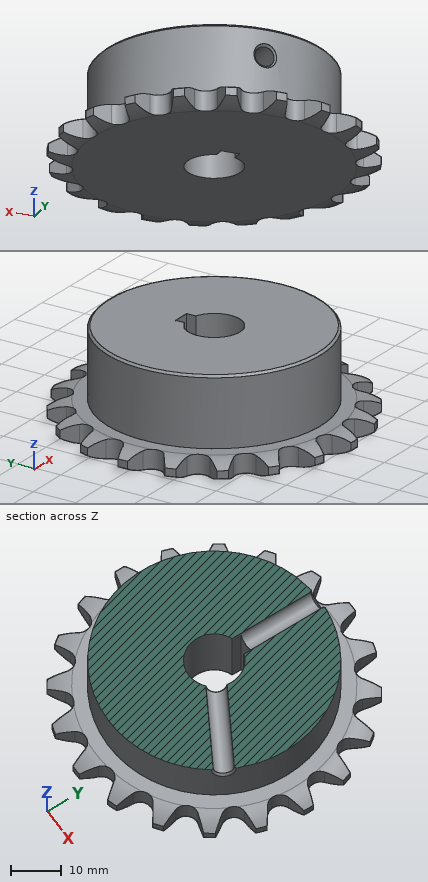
import cadquery as cq
import math

TOOTH_COUNT = 20
CHAIN_PITCH = 9.525
ROLLER_DIAMETER = 5.08
TIP_DIAMETER = 66.0
FLANK_ANGLE = 18
PLATE_THICKNESS = 4.3
TIP_THICKNESS = 1.7
FLAT_FACE_DIAMETER = 56.2

HUB_DIAMETER = 50.0
TOTAL_HEIGHT = 20.0
HUB_CHAMFER = 0.5
BORE_DIAMETER = 12.0
KEYWAY_WIDTH = 4.0
KEYWAY_DEPTH = 1.8

SCREW_HOLE_DIAMETER = 4.13
SCREW_MOUTH_DIAMETER = 5.1
SCREW_HEIGHT = 14.0
SCREW_ANGLES = (90.0, -30.0)

TOOTH_STEP = 360.0 / TOOTH_COUNT
PITCH_RADIUS = CHAIN_PITCH / (2 * math.sin(math.pi / TOOTH_COUNT))
SEAT_RADIUS = ROLLER_DIAMETER / 2
TIP_RADIUS = TIP_DIAMETER / 2
HUB_RADIUS = HUB_DIAMETER / 2
CUT_MARGIN = 1.0


def make_plate():
    """Disc whose rim narrows to the tip on arcs tangent to both flat faces."""
    flat_radius = FLAT_FACE_DIAMETER / 2
    radial_run = TIP_RADIUS - flat_radius
    side_drop = (PLATE_THICKNESS - TIP_THICKNESS) / 2
    side_radius = (radial_run**2 + side_drop**2) / (2 * side_drop)
    half_sweep = math.asin(radial_run / side_radius) / 2
    mid_radius = flat_radius + side_radius * math.sin(half_sweep)
    mid_drop = side_radius * (1 - math.cos(half_sweep))
    return (
        cq.Workplane("XZ")
        .lineTo(flat_radius, 0)
        .threePointArc((mid_radius, mid_drop), (TIP_RADIUS, side_drop))
        .lineTo(TIP_RADIUS, PLATE_THICKNESS - side_drop)
        .threePointArc((mid_radius, PLATE_THICKNESS - mid_drop), (flat_radius, PLATE_THICKNESS))
        .lineTo(0, PLATE_THICKNESS)
        .close()
        .revolve(360, (0, 0), (0, 1))
    )


def make_tooth_gap():
    """Cutter along +X: a roller seat opening outwards between straight flanks."""
    opening_angle = math.radians(FLANK_ANGLE + TOOTH_STEP / 2)
    seat_end_x = PITCH_RADIUS - SEAT_RADIUS * math.sin(opening_angle)
    seat_end_y = SEAT_RADIUS * math.cos(opening_angle)
    outer_x = TIP_RADIUS + CUT_MARGIN
    outer_y = seat_end_y + (outer_x - seat_end_x) * math.tan(opening_angle)
    return (
        cq.Workplane("XY")
        .moveTo(outer_x, -outer_y)
        .lineTo(seat_end_x, -seat_end_y)
        .threePointArc((PITCH_RADIUS - SEAT_RADIUS, 0), (seat_end_x, seat_end_y))
        .lineTo(outer_x, outer_y)
        .close()
        .extrude(PLATE_THICKNESS)
    )


def cut_teeth(plate):
    gap = make_tooth_gap()
    for index in range(TOOTH_COUNT):
        gap_angle = (index + 0.5) * TOOTH_STEP
        plate = plate.cut(gap.rotate((0, 0, 0), (0, 0, 1), gap_angle))
    return plate


def make_hub():
    return cq.Workplane("XY").circle(HUB_RADIUS).extrude(TOTAL_HEIGHT).faces(">Z").chamfer(HUB_CHAMFER)


def make_keyed_bore():
    bore = cq.Workplane("XY").circle(BORE_DIAMETER / 2).extrude(TOTAL_HEIGHT)
    keyway_top = BORE_DIAMETER / 2 + KEYWAY_DEPTH
    keyway = (
        cq.Workplane("XY")
        .center(0, keyway_top / 2)
        .rect(KEYWAY_WIDTH, keyway_top)
        .extrude(TOTAL_HEIGHT)
    )
    return bore.union(keyway)


def make_screw_hole(angle):
    """Radial hole from the axis out through the hub wall, countersunk at its mouth."""
    hole_radius = SCREW_HOLE_DIAMETER / 2
    mouth_radius = SCREW_MOUTH_DIAMETER / 2
    countersink_depth = mouth_radius - hole_radius
    outer_x = HUB_RADIUS + CUT_MARGIN
    return (
        cq.Workplane("XY")
        .lineTo(0, hole_radius)
        .lineTo(HUB_RADIUS - countersink_depth, hole_radius)
        .lineTo(outer_x, mouth_radius + CUT_MARGIN)
        .lineTo(outer_x, 0)
        .close()
        .revolve(360, (0, 0), (1, 0))
        .rotate((0, 0, 0), (0, 0, 1), angle)
        .translate((0, 0, SCREW_HEIGHT))
    )


result = cut_teeth(make_plate()).union(make_hub()).cut(make_keyed_bore())
for screw_angle in SCREW_ANGLES:
    result = result.cut(make_screw_hole(screw_angle))